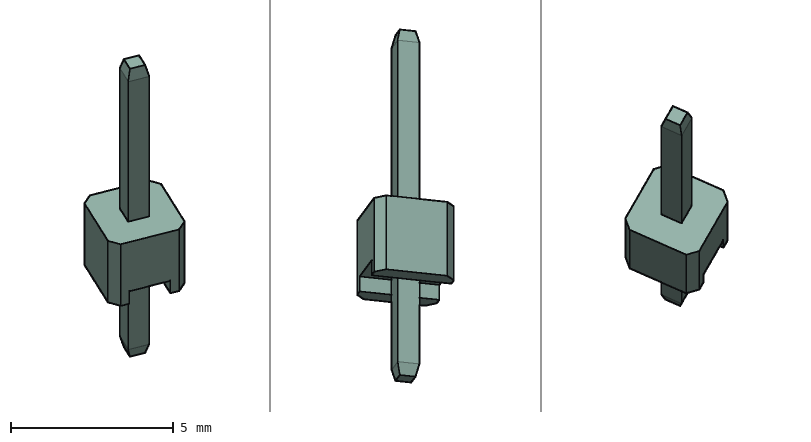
import cadquery as cq

pin_length = 11.5
pin_width = 0.7
tip_width = 0.51
tip_length = 0.4
tail_length = 3.04

body_width_x = 2.55
body_width_y = 2.54
body_height = 2.46
body_chamfer = 0.3

groove_width = 1.36
groove_depth = 0.5


def make_block(size_x, size_y, height):
    """Block centred on the Z axis with its underside at Z = 0."""
    return cq.Workplane("XY").box(size_x, size_y, height, centered=(True, True, False))


def make_tip():
    """Tapered tip that starts at Z = 0 with the pin section and narrows upward."""
    return (
        cq.Workplane("XY")
        .rect(pin_width, pin_width)
        .workplane(offset=tip_length)
        .rect(tip_width, tip_width)
        .loft(ruled=True)
    )


def make_pin():
    """Pin with its lower end at Z = 0."""
    shank_length = pin_length - 2 * tip_length
    shank = make_block(pin_width, pin_width, shank_length).translate((0, 0, tip_length))
    upper_tip = make_tip().translate((0, 0, pin_length - tip_length))
    lower_tip = make_tip().mirror("XY").translate((0, 0, tip_length))
    return shank.union(upper_tip).union(lower_tip)


def make_body():
    """Chamfered, grooved block with its underside at Z = tail_length."""
    block = make_block(body_width_x, body_width_y, body_height).edges("|Z").chamfer(body_chamfer)
    groove = make_block(body_width_x, groove_width, groove_depth)
    return block.cut(groove).translate((0, 0, tail_length))


result = make_body().union(make_pin())